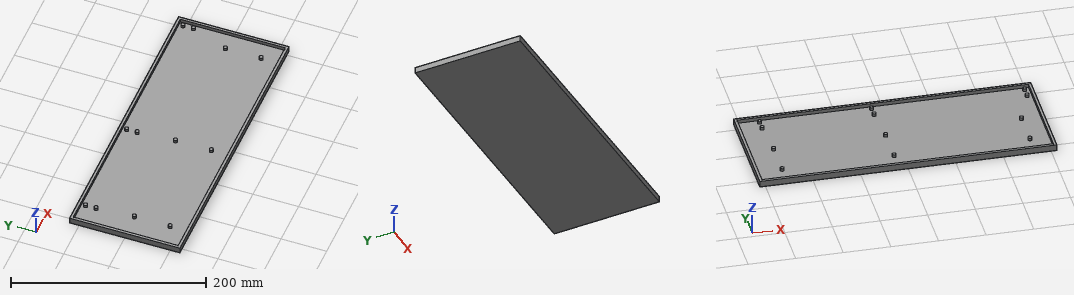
import cadquery as cq

length = 312.0
width = 121.0
height = 7.0
wall = 3.0
floor = wall

pin_diameter = 4.0
pin_height = 3.0

column_spacing = 117.5
rear_left_x = -130.5
rear_right_x = 148.0
rear_rows_y = (52.7, 41.2)
front_left_x = -127.5
front_right_x = 132.5
front_rows_y = (0.3, -39.0)


def make_tray():
    """Open-topped rectangular tray with an even rim."""
    body = cq.Workplane("XY").box(length, width, height, centered=(True, True, False))
    cavity = (
        cq.Workplane("XY")
        .workplane(offset=floor)
        .rect(length - 2 * wall, width - 2 * wall)
        .extrude(height - floor)
    )
    return body.cut(cavity)


def pin_row_points(left_x, right_x, row_y):
    """Left, middle and right pin centres of one row."""
    return [(x, row_y) for x in (left_x, left_x + column_spacing, right_x)]


def make_pins():
    """All pins, rooted at the underside so that they fuse with the floor."""
    points = []
    for row_y in rear_rows_y:
        points += pin_row_points(rear_left_x, rear_right_x, row_y)
    for row_y in front_rows_y:
        points += pin_row_points(front_left_x, front_right_x, row_y)
    return (
        cq.Workplane("XY")
        .pushPoints(points)
        .circle(pin_diameter / 2)
        .extrude(floor + pin_height)
    )


result = make_tray().union(make_pins())